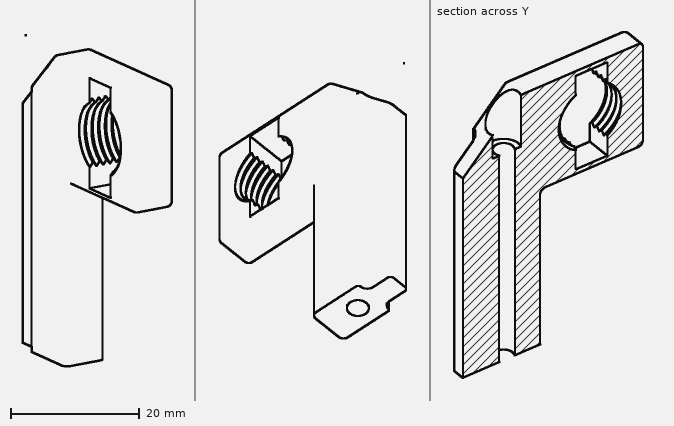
import cadquery as cq
import math

total_length = 34.9
total_height = 50.0
thickness = 7.4
leg_right = 15.0
arm_height = 20.0
corner_chamfer = 11.35
edge_radius = 1.0

rib_thickness = 4.0
rib_y = -0.2
rib_edge_radius = 0.65
step_x = 5.1
plus_y_step_radius = 0.55
minus_y_step_radius = 0.35

window_x = 24.9
window_width = 6.0
bore_diameter = 11.45
thread_pitch = 1.25
thread_depth = 0.6
groove_base_inset = 0.05
groove_sweep = 130.0

screw_x = 8.55
screw_diameter = 3.45
head_diameter = 5.7

chip_size = 0.05
chip_y = -1.3

half_thickness = thickness / 2
arm_bottom = total_height - arm_height
arm_mid_z = total_height - arm_height / 2
bore_radius = bore_diameter / 2


def make_rounded_plate():
    """Plate with every edge rounded; it runs past the foot and the -X side, where it is trimmed later."""
    overshoot = 5 * edge_radius
    outline = [
        (-overshoot, -overshoot),
        (leg_right, -overshoot),
        (leg_right, arm_bottom),
        (total_length, arm_bottom),
        (total_length, total_height),
        (corner_chamfer, total_height),
        (-overshoot, total_height - corner_chamfer - overshoot),
    ]
    plate = cq.Workplane("XZ").polyline(outline).close().extrude(half_thickness, both=True)
    return plate.edges().fillet(edge_radius)


def make_section_half(rib_half, step_radius):
    """Half of the plan section on the +Y side: rounded rib, concave root, rounded step and plain body."""
    root_radius = half_thickness - step_radius - rib_half
    return (
        cq.Workplane("XY")
        .lineTo(0, rib_half - rib_edge_radius)
        .radiusArc((rib_edge_radius, rib_half), rib_edge_radius)
        .lineTo(step_x - root_radius, rib_half)
        .radiusArc((step_x, rib_half + root_radius), -root_radius)
        .radiusArc((step_x + step_radius, half_thickness), step_radius)
        .lineTo(total_length, half_thickness)
        .lineTo(total_length, 0)
        .close()
        .extrude(total_height)
    )


def make_section_prism():
    """Plan section of the bracket carried over the full height."""
    plus_y_half = make_section_half(rib_thickness / 2 + rib_y, plus_y_step_radius)
    minus_y_half = make_section_half(rib_thickness / 2 - rib_y, minus_y_step_radius).mirror("XZ")
    return plus_y_half.union(minus_y_half)


def make_window():
    """Rectangular opening through the arm, between the rounded edges above and below."""
    window_height = arm_height - 2 * edge_radius
    window = cq.Workplane("XY").box(window_width, thickness, window_height)
    return window.translate((window_x, 0, arm_mid_z))


def make_bore():
    bore = cq.Workplane("XZ").center(window_x, arm_mid_z).circle(bore_radius)
    return bore.extrude(half_thickness, both=True)


def make_thread_groove(half_turn):
    """V groove of one half turn, on the +X side for even numbers and on the -X side for odd ones.

    Its two ends lie inside the window.
    """
    half_width = thread_pitch / 2
    profile = [
        (bore_radius - groove_base_inset, -half_width),
        (bore_radius + thread_depth, 0),
        (bore_radius - groove_base_inset, half_width),
    ]
    rise = thread_pitch * groove_sweep / 360
    helix = cq.Wire.makeHelix(thread_pitch, rise, bore_radius)
    groove = cq.Workplane("XZ").polyline(profile).close().sweep(cq.Workplane(helix), isFrenet=True)

    start_angle = 180 * half_turn - groove_sweep / 2
    groove = groove.translate((0, 0, -rise / 2)).rotate((0, 0, 0), (0, 0, 1), start_angle)
    groove = groove.rotate((0, 0, 0), (1, 0, 0), -90)

    first_groove_y = -half_thickness - thread_pitch / 4
    groove_y = first_groove_y + half_turn * thread_pitch / 2
    return groove.translate((window_x, groove_y, arm_mid_z))


def make_screw_hole():
    """Clearance hole through the leg with a wider head recess down to the middle of the arm."""
    clearance = cq.Workplane("XY").center(screw_x, 0).circle(screw_diameter / 2).extrude(total_height)
    recess = cq.Workplane("XY", origin=(screw_x, 0, arm_mid_z)).circle(head_diameter / 2).extrude(arm_height)
    return clearance.union(recess)


def make_bracket():
    bracket = make_rounded_plate().intersect(make_section_prism())
    bracket = bracket.cut(make_screw_hole()).cut(make_bore()).cut(make_window())
    half_turn_count = math.ceil(2 * thickness / thread_pitch) + 2
    for half_turn in range(half_turn_count):
        bracket = bracket.cut(make_thread_groove(half_turn))
    return bracket


def make_chip():
    chip = cq.Workplane("XY").box(chip_size, chip_size, chip_size)
    return chip.translate((chip_size / 2, chip_y, total_height - chip_size / 2))


bracket = make_bracket()
chip = make_chip()
result = cq.Compound.makeCompound([bracket.solids().val(), chip.val()])